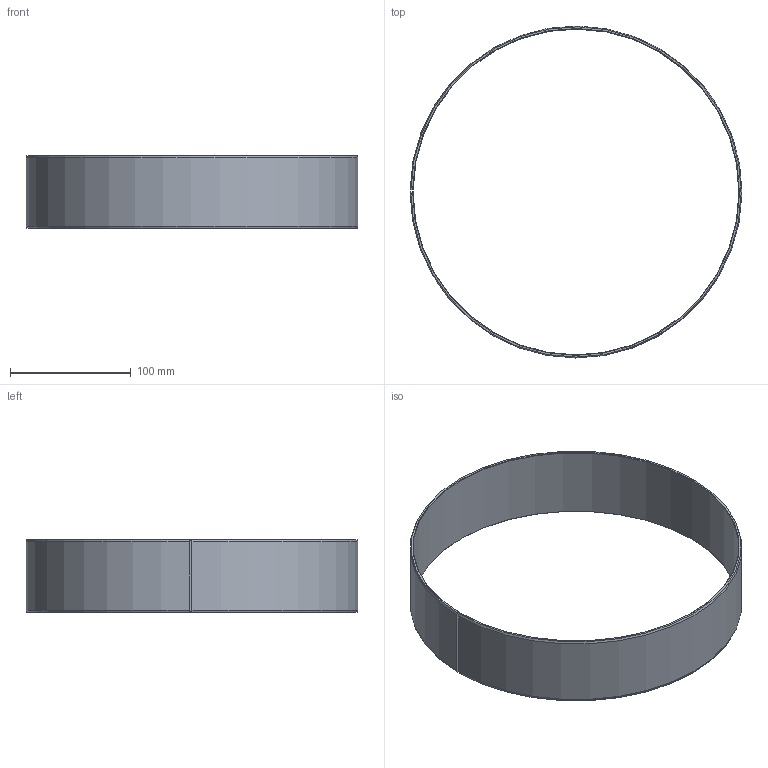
import math

import cadquery as cq

outer_diameter = 275.0
wall_thickness = 2.5
band_height = 60.0
bevel_height = 1.8
bevel_angle = 20.0
bore_chamfer = 0.4
gap_angle = 0.85

outer_radius = outer_diameter / 2
inner_radius = outer_radius - wall_thickness
bevel_depth = bevel_height * math.tan(math.radians(bevel_angle))


def make_wall_section():
    """Wall section at -X, beveled at both outer rims and chamfered at both bore rims."""
    outer_rim_radius = outer_radius - bevel_depth
    inner_rim_radius = inner_radius + bore_chamfer
    return (
        cq.Workplane("XZ")
        .moveTo(-inner_rim_radius, 0)
        .lineTo(-outer_rim_radius, 0)
        .lineTo(-outer_radius, bevel_height)
        .lineTo(-outer_radius, band_height - bevel_height)
        .lineTo(-outer_rim_radius, band_height)
        .lineTo(-inner_rim_radius, band_height)
        .lineTo(-inner_radius, band_height - bore_chamfer)
        .lineTo(-inner_radius, bore_chamfer)
        .close()
    )


def make_split_band():
    """Sweep the section counterclockwise about Z, leaving a narrow gap on the +Y side of -X."""
    axis_start = (0, 0, 0)
    axis_end = (0, 1, 0)
    return make_wall_section().revolve(360 - gap_angle, axis_start, axis_end)


result = make_split_band()